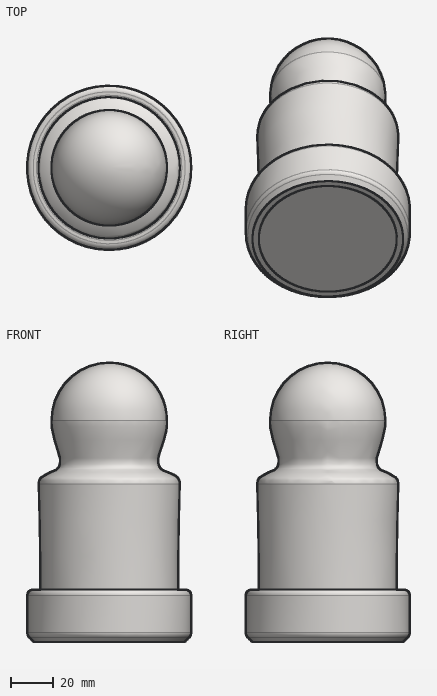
import cadquery as cq
import math

TOTAL_HEIGHT = 132.7

RING_RADIUS = 39.0
RING_HEIGHT = 25.0
RING_TOP_ROUND = 2.9
BORE_ROUND = 1.7
BOTTOM_CHAMFER = 2.3
CHAMFER_ROUND = 3.3

STEM_RADIUS = 32.8
FLARE_START_Z = RING_HEIGHT - BORE_ROUND
SHOULDER_RADIUS = 33.6
SHOULDER_Z = 75.0
BALL_RADIUS = 27.5
BALL_Z = TOTAL_HEIGHT - BALL_RADIUS

SHOULDER_CREST = (32.8, 77.8)
SHOULDER_SLOPE = (27.9, 80.7)
NECK_FOOT = (24.3, 82.7)
NECK_WAIST = (23.4, 85.5)
NECK_FLANK = (24.7, 91.8)
BALL_UNDERSIDE = (26.7, 98.2)

AXIS_START = (0, 0)
AXIS_END = (0, 1)


def revolve_profile(profile):
    """Turn a closed half section (radius, height) around the Z axis."""
    return profile.close().revolve(360, AXIS_START, AXIS_END)


def make_ring():
    """Base ring with a through bore, rounded top edges and a blended bottom chamfer."""
    half_angle = math.radians(45)
    chamfer_top_radius = RING_RADIUS - CHAMFER_ROUND * (1 - math.cos(half_angle))
    chamfer_bottom_radius = chamfer_top_radius - BOTTOM_CHAMFER
    side_start_z = BOTTOM_CHAMFER + CHAMFER_ROUND * math.sin(half_angle)
    profile = (
        cq.Workplane("XZ")
        .moveTo(STEM_RADIUS, 0)
        .lineTo(chamfer_bottom_radius, 0)
        .lineTo(chamfer_top_radius, BOTTOM_CHAMFER)
        .tangentArcPoint((RING_RADIUS, side_start_z), relative=False)
        .lineTo(RING_RADIUS, RING_HEIGHT - RING_TOP_ROUND)
        .tangentArcPoint((RING_RADIUS - RING_TOP_ROUND, RING_HEIGHT), relative=False)
        .lineTo(STEM_RADIUS + BORE_ROUND, RING_HEIGHT)
        .tangentArcPoint((STEM_RADIUS, RING_HEIGHT - BORE_ROUND), relative=False)
    )
    return revolve_profile(profile)


def make_post():
    """Gently flared stem with a rounded shoulder, a hollow neck and a ball head."""
    ball_equator = (BALL_RADIUS, BALL_Z)
    diagonal = BALL_RADIUS * math.sqrt(0.5)
    neck_curve = [
        SHOULDER_CREST,
        SHOULDER_SLOPE,
        NECK_FOOT,
        NECK_WAIST,
        NECK_FLANK,
        BALL_UNDERSIDE,
        ball_equator,
    ]
    profile = (
        cq.Workplane("XZ")
        .lineTo(STEM_RADIUS, 0)
        .lineTo(STEM_RADIUS, FLARE_START_Z)
        .tangentArcPoint((SHOULDER_RADIUS, SHOULDER_Z), relative=False)
        .spline(neck_curve, includeCurrent=True)
        .threePointArc((diagonal, BALL_Z + diagonal), (0, TOTAL_HEIGHT))
    )
    return revolve_profile(profile)


ring = make_ring()
post = make_post()
result = cq.Compound.makeCompound([ring.val(), post.val()])